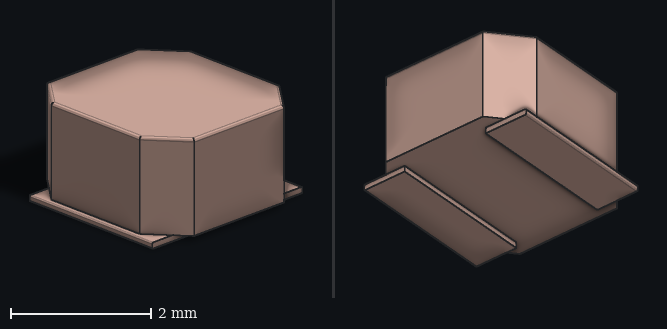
import cadquery as cq

housing_length_x = 3.0
housing_length_y = 2.8
housing_height = 1.5
straight_side = 1.8
top_edge_radius = 0.048

terminal_width = 2.5
terminal_length = 0.75
terminal_thickness = 0.1
terminal_span = 3.0
terminal_edge_radius = 0.02
terminal_shift_x = 0.01


def make_housing():
    """Block with four cut corners and a rounded top rim, standing on the terminals."""
    half_x = housing_length_x / 2
    half_y = housing_length_y / 2
    half_side = straight_side / 2
    outline = [
        (half_x, -half_side),
        (half_x, half_side),
        (half_side, half_y),
        (-half_side, half_y),
        (-half_x, half_side),
        (-half_x, -half_side),
        (-half_side, -half_y),
        (half_side, -half_y),
    ]
    block = cq.Workplane("XY").workplane(offset=terminal_thickness).polyline(outline).close()
    block = block.extrude(housing_height)
    return block.faces(">Z").edges().fillet(top_edge_radius)


def make_terminal(end):
    """Plate at the -Y end (end = -1) or the +Y end (end = 1), rounded along its outer end."""
    center_y = end * (terminal_span - terminal_length) / 2
    plate = cq.Workplane("XY").center(terminal_shift_x, center_y).rect(terminal_width, terminal_length)
    plate = plate.extrude(terminal_thickness)
    outer_end = ">Y" if end > 0 else "<Y"
    return plate.faces(outer_end).edges("|X").fillet(terminal_edge_radius)


housing = make_housing()
terminals = [make_terminal(end) for end in (-1, 1)]

result = cq.Compound.makeCompound([housing.val(), *[terminal.val() for terminal in terminals]])